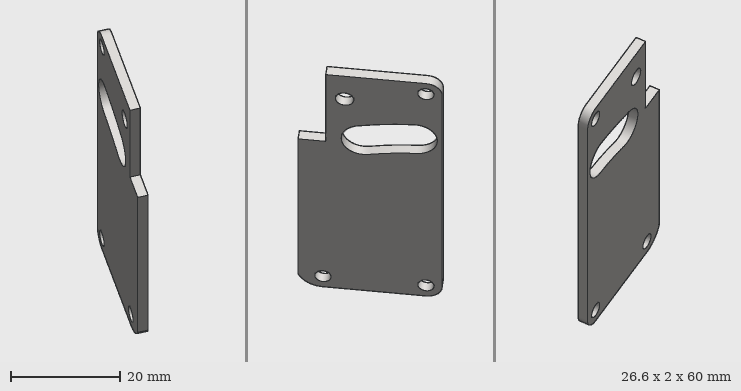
import cadquery as cq
import math

WIDTH = 26.6
HEIGHT = 60.0
THICKNESS = 2.0
CORNER_RADIUS = 3.0

NOTCH_X = 21.5
NOTCH_Z = 41.15

RIGHT_ARC_RADIUS = 5.0
LOWER_RIGHT_SCREW_X = 22.0

SCREW_DIAMETER = 3.0
SCREW_CENTRES = [
    (CORNER_RADIUS, CORNER_RADIUS),
    (CORNER_RADIUS, HEIGHT - CORNER_RADIUS),
    (LOWER_RIGHT_SCREW_X, CORNER_RADIUS),
]

LARGE_HOLE_DIAMETER = 3.4
LARGE_HOLE_CENTRE = (18.0, 53.55)

SLOT_END_RADIUS = 4.0
SLOT_LEFT_X = 4.9
SLOT_LEFT_Z = 44.05
SLOT_PATH_RADIUS = 51.0
SLOT_START_ANGLE = 4.0
SLOT_END_ANGLE = 15.1


def extruded(sketch):
    """Extrude an XZ sketch through the plate thickness, from Y = 0 to +Y."""
    return sketch.extrude(-THICKNESS)


def plate():
    corner_mid = CORNER_RADIUS * (1 - math.sqrt(0.5))
    arc_sweep = math.asin((WIDTH - LOWER_RIGHT_SCREW_X) / RIGHT_ARC_RADIUS)

    def right_arc_point(angle):
        return (
            LOWER_RIGHT_SCREW_X + RIGHT_ARC_RADIUS * math.sin(angle),
            RIGHT_ARC_RADIUS * (1 - math.cos(angle)),
        )

    outline = (
        cq.Workplane("XZ")
        .moveTo(CORNER_RADIUS, 0)
        .lineTo(*right_arc_point(0))
        .threePointArc(right_arc_point(arc_sweep / 2), right_arc_point(arc_sweep))
        .lineTo(WIDTH, NOTCH_Z)
        .lineTo(NOTCH_X, NOTCH_Z)
        .lineTo(NOTCH_X, HEIGHT)
        .lineTo(CORNER_RADIUS, HEIGHT)
        .threePointArc((corner_mid, HEIGHT - corner_mid), (0, HEIGHT - CORNER_RADIUS))
        .lineTo(0, CORNER_RADIUS)
        .threePointArc((corner_mid, corner_mid), (CORNER_RADIUS, 0))
        .close()
    )
    return extruded(outline)


def round_holes(centres, diameter):
    return extruded(cq.Workplane("XZ").pushPoints(centres).circle(diameter / 2))


def curved_slot():
    start = math.radians(SLOT_START_ANGLE)
    end = math.radians(SLOT_END_ANGLE)
    middle = (start + end) / 2
    arc_centre_x = SLOT_LEFT_X - SLOT_PATH_RADIUS * math.sin(start)
    arc_centre_z = SLOT_LEFT_Z - SLOT_PATH_RADIUS * math.cos(start)

    def slot_point(angle, outward, along=0.0):
        """Point offset outward from the slot path and along it (clockwise) at the given angle."""
        radius = SLOT_PATH_RADIUS + outward
        return (
            arc_centre_x + radius * math.sin(angle) + along * math.cos(angle),
            arc_centre_z + radius * math.cos(angle) - along * math.sin(angle),
        )

    outline = (
        cq.Workplane("XZ")
        .moveTo(*slot_point(start, SLOT_END_RADIUS))
        .threePointArc(slot_point(middle, SLOT_END_RADIUS), slot_point(end, SLOT_END_RADIUS))
        .threePointArc(slot_point(end, 0, SLOT_END_RADIUS), slot_point(end, -SLOT_END_RADIUS))
        .threePointArc(slot_point(middle, -SLOT_END_RADIUS), slot_point(start, -SLOT_END_RADIUS))
        .threePointArc(slot_point(start, 0, -SLOT_END_RADIUS), slot_point(start, SLOT_END_RADIUS))
        .close()
    )
    return extruded(outline)


result = (
    plate()
    .cut(round_holes(SCREW_CENTRES, SCREW_DIAMETER))
    .cut(round_holes([LARGE_HOLE_CENTRE], LARGE_HOLE_DIAMETER))
    .cut(curved_slot())
)